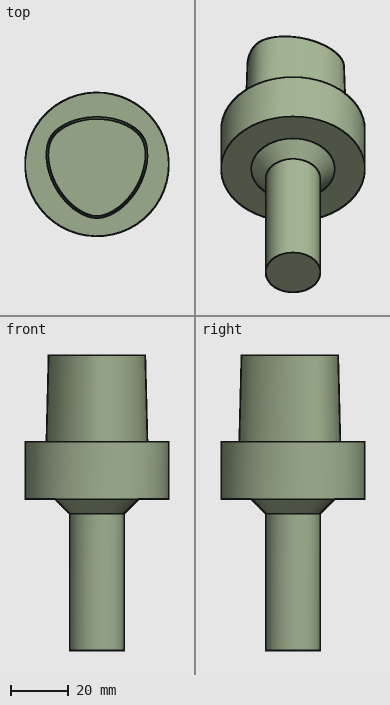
import cadquery as cq
import math

total_length = 102.5
taper_length = 30.0
flange_length = 20.0
flange_bottom = total_length - taper_length - flange_length
flange_top = flange_bottom + flange_length

flange_diameter = 49.98
shank_diameter = 19.0
cone_top_diameter = 29.0
cone_height = (cone_top_diameter - shank_diameter) / 2

polygon_base_width = 35.15
taper_ratio = 1 / 20
polygon_top_width = polygon_base_width - taper_length * taper_ratio
lobe_eccentricity = 1.1
lobe_direction = -90.0
polygon_points = 48


def polygon_point(width, angle):
    """Point on the three-lobed curve where its outward normal has the given angle."""
    support = width / 2 + lobe_eccentricity * math.cos(3 * angle)
    support_slope = -3 * lobe_eccentricity * math.sin(3 * angle)
    x = support * math.cos(angle) - support_slope * math.sin(angle)
    y = support * math.sin(angle) + support_slope * math.cos(angle)
    return x, y


def polygon_wire(width, z):
    """Closed smooth three-lobed outline at height z, with one lobe pointing to -Y."""
    step = 2 * math.pi / polygon_points
    points = [polygon_point(width, i * step) for i in range(polygon_points)]
    outline = cq.Workplane("XY").spline(points, periodic=True).close().val()
    turned = outline.rotate(cq.Vector(0, 0, 0), cq.Vector(0, 0, 1), lobe_direction)
    return turned.translate(cq.Vector(0, 0, z))


def make_round_body():
    """Shank, 45 degree cone and flange as one revolved profile."""
    shank_radius = shank_diameter / 2
    flange_radius = flange_diameter / 2
    profile = (
        cq.Workplane("XZ")
        .moveTo(0, 0)
        .lineTo(shank_radius, 0)
        .lineTo(shank_radius, flange_bottom - cone_height)
        .lineTo(cone_top_diameter / 2, flange_bottom)
        .lineTo(flange_radius, flange_bottom)
        .lineTo(flange_radius, flange_top)
        .lineTo(0, flange_top)
        .close()
    )
    return profile.revolve(360, (0, 0, 0), (0, 1, 0))


def make_tapered_polygon():
    """Polygon taper standing on the flange and narrowing towards its top."""
    base = polygon_wire(polygon_base_width, flange_top)
    top = polygon_wire(polygon_top_width, total_length)
    return cq.Workplane(cq.Solid.makeLoft([base, top], True))


result = make_round_body().union(make_tapered_polygon())